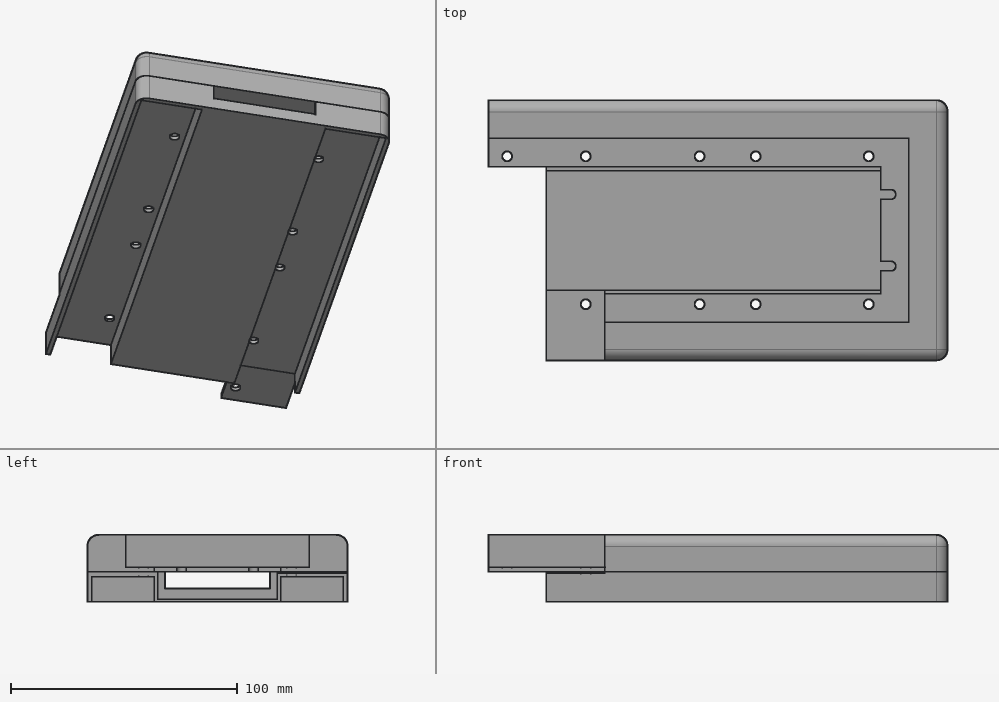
import cadquery as cq

LENGTH = 202.4
WIDTH = 114.7
HEIGHT = 29.5
EDGE_RADIUS = 5.0

TRAY_START = 25.5
TRAY_HEIGHT = 13.2
SHELL = 2.0
CHANNEL_WALL = 1.6
FLOOR = 1.2
CHANNEL_WIDTH = 52.6
WINDOW_WIDTH = 46.1
WINDOW_SILL = 5.9
TAB_STEP = 0.6

SHORT_ARM_START = 51.4
LEDGE_THICKNESS = 2.0
RIM_INNER_END = 185.2
RIM_INNER_WIDTH = 81.0
OPENING_END = 172.8
OPENING_WIDTH = CHANNEL_WIDTH + 2 * CHANNEL_WALL

SLOT_WIDTH = 4.2
SLOT_END = 179.5
SLOT_Y = 15.8

HOLE_DIAMETER = 4.2
HOLE_Y = 32.5
FRAME_ONLY_HOLE_X = 8.3
SHARED_HOLE_X = [42.9, 93.0, 117.8, 167.5]


def block(x_range, y_range, z_range):
    """Axis-aligned box between the given limits."""
    (x0, x1), (y0, y1), (z0, z1) = x_range, y_range, z_range
    return cq.Workplane("XY").box(x1 - x0, y1 - y0, z1 - z0, centered=False).translate((x0, y0, z0))


def centred_block(x_range, width, z_range):
    """Box of the given width, symmetric about Y = 0."""
    return block(x_range, (-width / 2, width / 2), z_range)


def screw_holes():
    """Cutters for all screw holes, tall enough to pass through both bodies."""
    points = [(x, side * HOLE_Y) for x in SHARED_HOLE_X for side in (-1, 1)]
    points.append((FRAME_ONLY_HOLE_X, HOLE_Y))
    return cq.Workplane("XY").pushPoints(points).circle(HOLE_DIAMETER / 2).extrude(HEIGHT)


def make_tray():
    tray = centred_block((TRAY_START, LENGTH), WIDTH, (0, TRAY_HEIGHT))
    tray = tray.edges("|Z and >X").fillet(EDGE_RADIUS)

    inner_end = LENGTH - SHELL
    tray = tray.cut(centred_block((TRAY_START, inner_end), CHANNEL_WIDTH, (FLOOR, TRAY_HEIGHT)))

    hollow_inner = CHANNEL_WIDTH / 2 + CHANNEL_WALL
    hollow_outer = WIDTH / 2 - SHELL
    hollow_z = (0, TRAY_HEIGHT - SHELL)
    for y_range in ((hollow_inner, hollow_outer), (-hollow_outer, -hollow_inner)):
        tray = tray.cut(block((TRAY_START, inner_end), y_range, hollow_z))

    tray = tray.cut(centred_block((inner_end, LENGTH), WINDOW_WIDTH, (WINDOW_SILL, TRAY_HEIGHT)))

    tab_step = block(
        (TRAY_START, SHORT_ARM_START),
        (-WIDTH / 2, -CHANNEL_WIDTH / 2),
        (TRAY_HEIGHT - TAB_STEP, TRAY_HEIGHT),
    )
    return tray.cut(tab_step).cut(screw_holes())


def make_frame():
    frame = centred_block((0, LENGTH), WIDTH, (TRAY_HEIGHT, HEIGHT))
    frame = frame.edges("|Z and >X").fillet(EDGE_RADIUS)
    frame = frame.faces(">Z").edges("not <X").fillet(EDGE_RADIUS)

    ledge_top = TRAY_HEIGHT + LEDGE_THICKNESS
    frame = frame.cut(centred_block((0, RIM_INNER_END), RIM_INNER_WIDTH, (ledge_top, HEIGHT)))

    frame = frame.cut(centred_block((0, OPENING_END), OPENING_WIDTH, (TRAY_HEIGHT, HEIGHT)))

    frame = frame.cut(block((0, SHORT_ARM_START), (-WIDTH / 2, 0), (TRAY_HEIGHT, HEIGHT)))

    slot_end_x = SLOT_END - SLOT_WIDTH / 2
    for slot_y in (-SLOT_Y, SLOT_Y):
        slot = centred_block((OPENING_END, slot_end_x), SLOT_WIDTH, (0, ledge_top))
        slot = slot.union(cq.Workplane("XY").center(slot_end_x, 0).circle(SLOT_WIDTH / 2).extrude(ledge_top))
        frame = frame.cut(slot.translate((0, slot_y, 0)))

    return frame.cut(screw_holes())


tray = make_tray()
frame = make_frame()
result = cq.Compound.makeCompound([tray.solids().val(), frame.solids().val()])